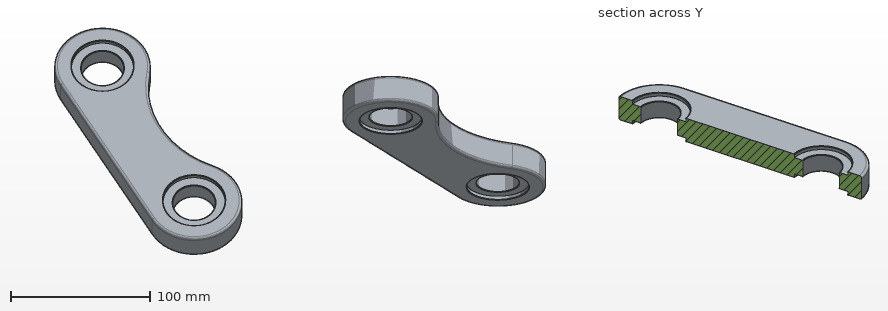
import cadquery as cq
import math

length = 205.46
width = 68.82
thickness = 20.24
end_radius = width / 2
eye_offset = length / 2 - end_radius

waist_radius = 76.2
waist_center_y = math.sqrt((waist_radius + end_radius) ** 2 - eye_offset ** 2)
waist_bottom_y = waist_center_y - waist_radius

bore_diameter = 30.5
seat_diameter = 44.6
seat_depth = 3.0
rim_chamfer = 0.5

edge_fillet = 2.0


def make_plate():
    """Plate with two round ends, a straight -Y side and a waist on the +Y side."""
    reach = end_radius / (end_radius + waist_radius)
    tangent_x = eye_offset * (1 - reach)
    tangent_y = waist_center_y * reach
    outline = (
        cq.Workplane("XY")
        .workplane(offset=-thickness / 2)
        .moveTo(-eye_offset, -end_radius)
        .lineTo(eye_offset, -end_radius)
        .threePointArc((eye_offset + end_radius, 0), (tangent_x, tangent_y))
        .threePointArc((0, waist_bottom_y), (-tangent_x, tangent_y))
        .threePointArc((-eye_offset - end_radius, 0), (-eye_offset, -end_radius))
        .close()
    )
    return outline.extrude(thickness).faces("<Z or >Z").edges().fillet(edge_fillet)


def make_eye_cutter(x):
    """Revolved cutter for one eye: bore, both seats and their chamfered rims."""
    bore_radius = bore_diameter / 2
    seat_radius = seat_diameter / 2
    face_z = thickness / 2
    floor_z = face_z - seat_depth
    upper_profile = [
        (bore_radius, floor_z - rim_chamfer),
        (bore_radius + rim_chamfer, floor_z),
        (seat_radius, floor_z),
        (seat_radius, face_z - rim_chamfer),
        (seat_radius + rim_chamfer, face_z),
    ]
    lower_profile = [(radius, -z) for radius, z in reversed(upper_profile)]
    profile = [(0, face_z)] + upper_profile[::-1] + lower_profile[::-1] + [(0, -face_z)]
    cutter = cq.Workplane("XZ").polyline(profile).close().revolve(360, (0, 0), (0, 1))
    return cutter.translate((x, 0, 0))


result = make_plate()
for eye_x in (-eye_offset, eye_offset):
    result = result.cut(make_eye_cutter(eye_x))